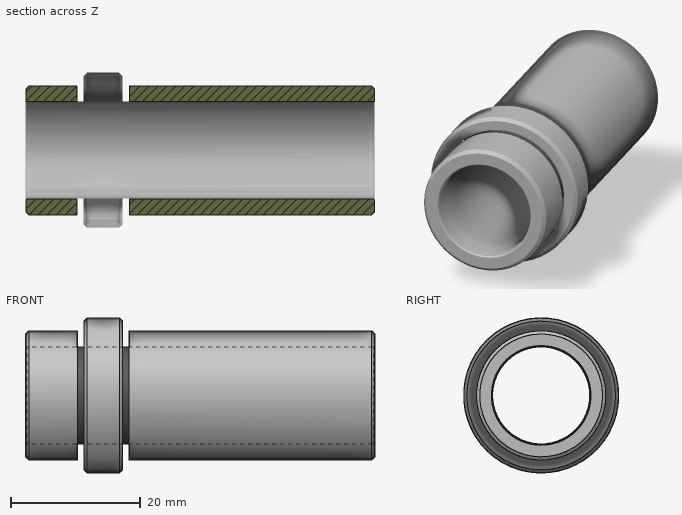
import cadquery as cq

length = 54.0
body_diameter = 20.0
collar_diameter = 24.0
bore_diameter = 15.0

collar_start = 9.0
collar_end = 15.0

outer_chamfer = 0.5
bore_chamfer = 0.2
undercut_radius = 0.5


def cylinder(diameter, start, end):
    """Solid cylinder along X between two places on the axis."""
    return cq.Workplane("YZ").workplane(offset=start).circle(diameter / 2).extrude(end - start)


def undercut(center_x):
    """Ring of round section that cuts a half-round groove into the body surface."""
    return (
        cq.Workplane("XY")
        .center(center_x, body_diameter / 2)
        .circle(undercut_radius)
        .revolve(360, (0, -body_diameter / 2), (1, -body_diameter / 2))
    )


body = cylinder(body_diameter, 0, length).faces("<X or >X").chamfer(outer_chamfer)
collar = cylinder(collar_diameter, collar_start, collar_end).faces("<X or >X").chamfer(outer_chamfer)
sleeve = body.union(collar)

for groove_center in (collar_start - undercut_radius, collar_end + undercut_radius):
    sleeve = sleeve.cut(undercut(groove_center))

bored_sleeve = sleeve.cut(cylinder(bore_diameter, 0, length))
bore_rims = bored_sleeve.faces("<X or >X").edges(cq.selectors.RadiusNthSelector(0))
result = bore_rims.chamfer(bore_chamfer)